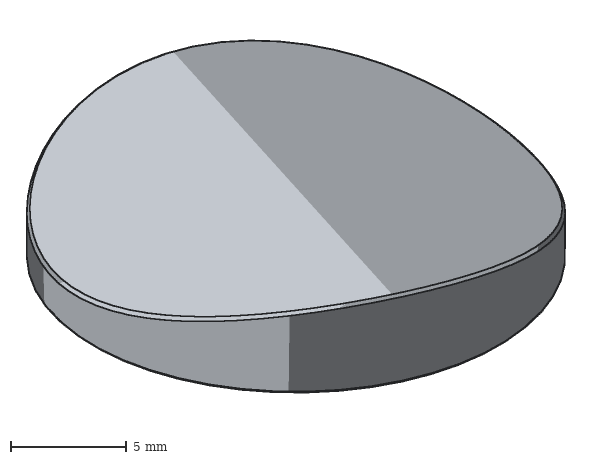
import cadquery as cq

diameter = 23.4
center_height = 4.5
crown_radius = 29.95
edge_chamfer = 0.15

blank = cq.Workplane("XY").circle(diameter / 2).extrude(center_height)

crown = (
    cq.Workplane("YZ")
    .center(0, center_height - crown_radius)
    .circle(crown_radius)
    .extrude(diameter, both=True)
)

lens = blank.intersect(crown)

result = lens.edges("not %LINE").chamfer(edge_chamfer)